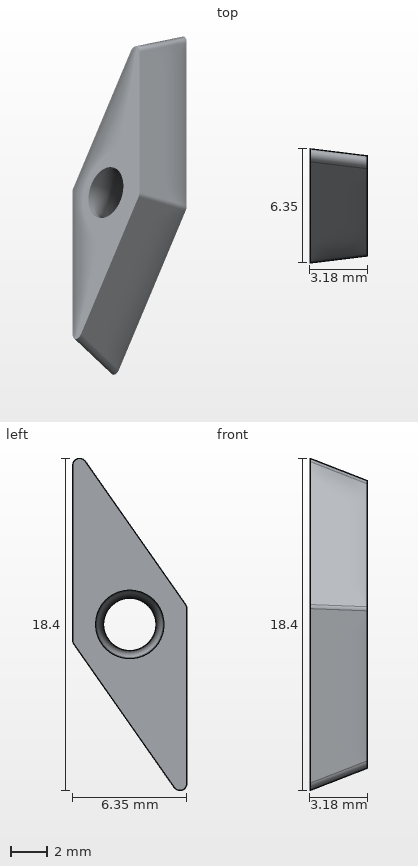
import cadquery as cq
import math

inscribed_circle = 6.35
thickness = 3.18
acute_angle = math.radians(35)
clearance_angle = 7
corner_radius = 0.4

bore_diameter = 2.9
seat_diameter = 3.7
mouth_diameter = 3.8
lip_depth = 0.25
seat_depth = 1.5


def make_tapered_rhombus():
    """Rhombus on the YZ plane with two sides along Z, narrowing towards +X."""
    side = inscribed_circle / math.sin(acute_angle)
    half_width = inscribed_circle / 2
    tip_z = side * (1 + math.cos(acute_angle)) / 2
    shoulder_z = tip_z - side
    corners = [
        (half_width, tip_z),
        (half_width, shoulder_z),
        (-half_width, -tip_z),
        (-half_width, -shoulder_z),
    ]
    return cq.Workplane("YZ").polyline(corners).close().extrude(thickness, taper=clearance_angle)


def make_screw_hole():
    """Revolved cutter along X whose curved seat runs tangentially into the bore."""
    bore_radius = bore_diameter / 2
    seat_radius = seat_diameter / 2
    mouth_radius = mouth_diameter / 2
    bore_start = lip_depth + seat_depth

    flare = seat_radius - bore_radius
    arc_radius = (seat_depth**2 + flare**2) / (2 * flare)
    half_sweep = math.asin(seat_depth / arc_radius) / 2
    arc_middle_x = bore_start - arc_radius * math.sin(half_sweep)
    arc_middle_radius = bore_radius + arc_radius * (1 - math.cos(half_sweep))

    return (
        cq.Workplane("XZ")
        .lineTo(0, -mouth_radius)
        .lineTo(lip_depth, -seat_radius)
        .threePointArc((arc_middle_x, -arc_middle_radius), (bore_start, -bore_radius))
        .lineTo(thickness, -bore_radius)
        .lineTo(thickness, 0)
        .close()
        .revolve(360, (0, 0, 0), (1, 0, 0))
    )


body = make_tapered_rhombus()
flank_edges = body.edges("not(#X)")
rounded_body = flank_edges.fillet(corner_radius)
result = rounded_body.cut(make_screw_hole())